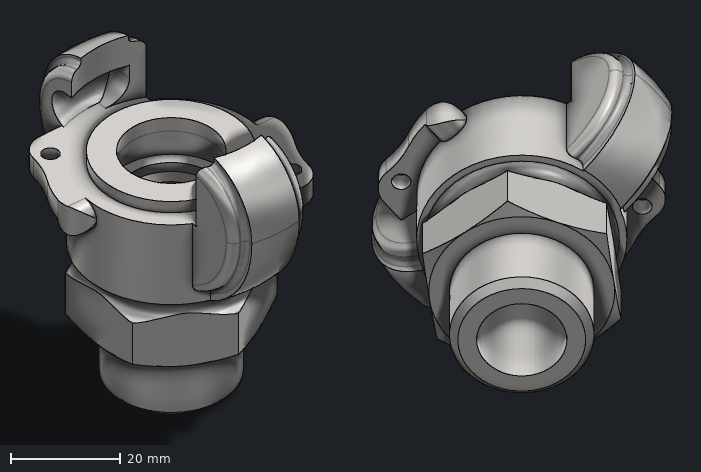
import cadquery as cq
import math

stub_chamfer = 1.55
hex_bottom = 14.9
collar_bottom = 30.7
collar_top = 49.0
seat_top = 51.5
claw_top = 63.85

stub_radius = 13.2
hex_across_flats = 34.0
hex_bevel_angle = 30.0
collar_radius = 19.2
seat_radius = 15.5

neck_groove_radius = 2.7
neck_groove_centre_radius = 19.2
neck_groove_level = 28.4

through_radius = 8.25
mouth_radius = 9.99
mouth_depth = 3.05
seal_chamber_radius = 12.5
seal_chamber_depth = 10.3
seal_flare_middle = (10.6, 44.7)
funnel_depth = 12.3
funnel_slope = 60.0

claw_widest_level = 50.65
claw_band_radius = 30.935
claw_band_width = 11.1
claw_foot_radius = 19.5
claw_width = 17.5
rim_reach = 28.75
rim_tip = (17.05, 62.3)
rim_foot = (15.3, 32.3)
rim_round = 1.8
band_root_fillet = 1.2
claw_core_radius = 18.5
mating_radius = 20.2

pocket_floor_radius = 22.3
pocket_back_radius = 25.5
pocket_top = 56.95
pocket_end = 5.75
pocket_end_round = 5.0

ear_thickness = 4.4
ear_side = 21.1
ear_corner = (ear_side, 14.0)
ear_back = [(16.65, 18.95), (9.7, 21.25), (3.9, 23.45)]
ear_nose = (-2.05, 18.65)
ear_hole_diameter = 3.5
ear_hole_offset = 15.7
lug_radius = 3.25
lug_axis_x = 1.2


def arc_from_crest(crest_x, level, end):
    """Middle point of the arc that runs vertically through (crest_x, level) and stops at end."""
    inset = crest_x - end[0]
    rise = end[1] - level
    radius = (inset**2 + rise**2) / (2 * inset)
    half_angle = math.atan2(rise, radius - inset) / 2
    return (crest_x - radius + radius * math.cos(half_angle), level + radius * math.sin(half_angle))


def claw_outline(crest_x, foot, tip):
    """Half outline of a claw: two arcs meeting at the widest level, left open between their ends."""
    crest = (crest_x, claw_widest_level)
    return (
        cq.Workplane("XZ")
        .moveTo(*foot)
        .threePointArc(arc_from_crest(crest_x, claw_widest_level, foot), crest)
        .threePointArc(arc_from_crest(crest_x, claw_widest_level, tip), tip)
    )


def turned_body():
    """Threaded stub, hexagon, grooved neck and collar."""
    stub = cq.Workplane("XY").circle(stub_radius).extrude(hex_bottom).faces("<Z").chamfer(stub_chamfer)

    corner_radius = hex_across_flats / math.sqrt(3)
    hexagon = (
        cq.Workplane("XY", origin=(0, 0, hex_bottom))
        .polygon(6, 2 * corner_radius)
        .extrude(neck_groove_level - hex_bottom)
    )
    neck = (
        cq.Workplane("XY", origin=(0, 0, neck_groove_level))
        .circle(corner_radius)
        .extrude(collar_bottom - neck_groove_level)
    )
    flat_radius = hex_across_flats / 2
    bevel_height = (corner_radius - flat_radius) * math.tan(math.radians(hex_bevel_angle))
    groove_bottom = neck_groove_level - neck_groove_radius
    groove_exit = math.sqrt(neck_groove_radius**2 - (collar_bottom - neck_groove_level) ** 2)
    envelope = (
        cq.Workplane("XZ")
        .moveTo(0, hex_bottom)
        .lineTo(flat_radius, hex_bottom)
        .lineTo(corner_radius, hex_bottom + bevel_height)
        .lineTo(corner_radius, groove_bottom)
        .lineTo(neck_groove_centre_radius, groove_bottom)
        .threePointArc(
            (neck_groove_centre_radius - neck_groove_radius, neck_groove_level),
            (neck_groove_centre_radius - groove_exit, collar_bottom),
        )
        .lineTo(0, collar_bottom)
        .close()
        .revolve(360, (0, 0, 0), (0, 1, 0))
    )
    collar = (
        cq.Workplane("XY", origin=(0, 0, collar_bottom))
        .circle(collar_radius)
        .extrude(collar_top - collar_bottom)
    )
    return stub.union(hexagon.union(neck).intersect(envelope)).union(collar)


def claw_pocket():
    """Round-backed pocket of the +X claw, open toward +Y, with a rounded lower end."""
    middle = (collar_top + pocket_top) / 2
    section = (
        cq.Workplane("XZ")
        .moveTo(0, collar_top)
        .lineTo(pocket_floor_radius, collar_top)
        .threePointArc((pocket_back_radius, middle), (pocket_floor_radius, pocket_top))
        .lineTo(0, pocket_top)
        .close()
        .revolve(360, (0, 0, 0), (0, 1, 0))
    )
    length = (
        cq.Workplane("YZ")
        .moveTo(claw_width, collar_top)
        .lineTo(claw_width, pocket_top)
        .lineTo(-pocket_end, pocket_top)
        .lineTo(-pocket_end, collar_top + pocket_end_round)
        .radiusArc((pocket_end_round - pocket_end, collar_top), -pocket_end_round)
        .close()
        .extrude(claw_band_radius)
    )
    return section.intersect(length)


def mating_space():
    """Room above the collar that both claws leave free."""
    return cq.Workplane("XY", origin=(0, 0, collar_top)).circle(mating_radius).extrude(claw_top)


def claw():
    """Claw on the +X side: a rounded rim with a raised band around its middle."""
    rim = claw_outline(rim_reach, rim_foot, rim_tip).close().extrude(claw_width / 2, both=True)
    rim = rim.faces("<Y or >Y").edges("%CIRCLE").fillet(rim_round)

    band_slab = cq.Workplane("XY").box(
        claw_band_radius, claw_band_width, claw_top, centered=(False, True, False)
    )
    band = (
        claw_outline(claw_band_radius, (claw_foot_radius, collar_bottom), (mating_radius, claw_top))
        .lineTo(0, claw_top)
        .lineTo(0, collar_bottom)
        .close()
        .revolve(360, (0, 0, 0), (0, 1, 0))
        .intersect(band_slab)
    )
    inner_core = cq.Workplane("XY").circle(claw_core_radius).extrude(collar_top)
    blank = rim.union(band).cut(inner_core).cut(mating_space())
    return blank.faces("|Y").faces("<<Y[1] or >>Y[1]").edges("%CIRCLE").fillet(band_root_fillet)


def ear():
    """Ear on the +X +Y side; its nose is a round lug lying along Y."""
    reach = 2 * ear_side
    plan = (
        cq.Workplane("XY")
        .moveTo(ear_nose[0], 0)
        .lineTo(ear_side, 0)
        .lineTo(*ear_corner)
        .tangentArcPoint(ear_back[0], relative=False)
        .tangentArcPoint(ear_back[1], relative=False)
        .tangentArcPoint(ear_back[2], relative=False)
        .tangentArcPoint(ear_nose, relative=False)
        .close()
        .extrude(claw_top)
    )
    plate = cq.Workplane("XY", origin=(lug_axis_x, 0, collar_top - ear_thickness)).box(
        reach, reach, ear_thickness, centered=(False, False, False)
    )
    lug = (
        cq.Workplane("XZ")
        .center(lug_axis_x, collar_top - lug_radius)
        .circle(lug_radius)
        .extrude(-reach)
    )
    hole = (
        cq.Workplane("XY")
        .center(ear_hole_offset, ear_hole_offset)
        .circle(ear_hole_diameter / 2)
        .extrude(claw_top)
    )
    return plate.union(lug).intersect(plan).cut(hole)


def bore():
    """Through bore with a funnel, a flared seal chamber and a cylindrical mouth."""
    funnel_drop = (mouth_radius - through_radius) / math.tan(math.radians(funnel_slope))
    return (
        cq.Workplane("XZ")
        .lineTo(through_radius, 0)
        .lineTo(through_radius, seat_top - funnel_depth - funnel_drop)
        .lineTo(mouth_radius, seat_top - funnel_depth)
        .lineTo(mouth_radius, seat_top - seal_chamber_depth)
        .lineTo(seal_chamber_radius, seat_top - seal_chamber_depth)
        .threePointArc(seal_flare_middle, (mouth_radius, seat_top - mouth_depth))
        .lineTo(mouth_radius, seat_top)
        .lineTo(0, seat_top)
        .close()
        .revolve(360, (0, 0, 0), (0, 1, 0))
    )


seat = cq.Workplane("XY", origin=(0, 0, collar_top)).circle(seat_radius).extrude(seat_top - collar_top)
side_claw = claw().cut(claw_pocket())
side_ear = ear()

result = turned_body()
for turn in (0, 180):
    result = result.union(side_claw.rotate((0, 0, 0), (0, 0, 1), turn))
    result = result.union(side_ear.rotate((0, 0, 0), (0, 0, 1), turn))
result = result.union(seat).cut(bore())